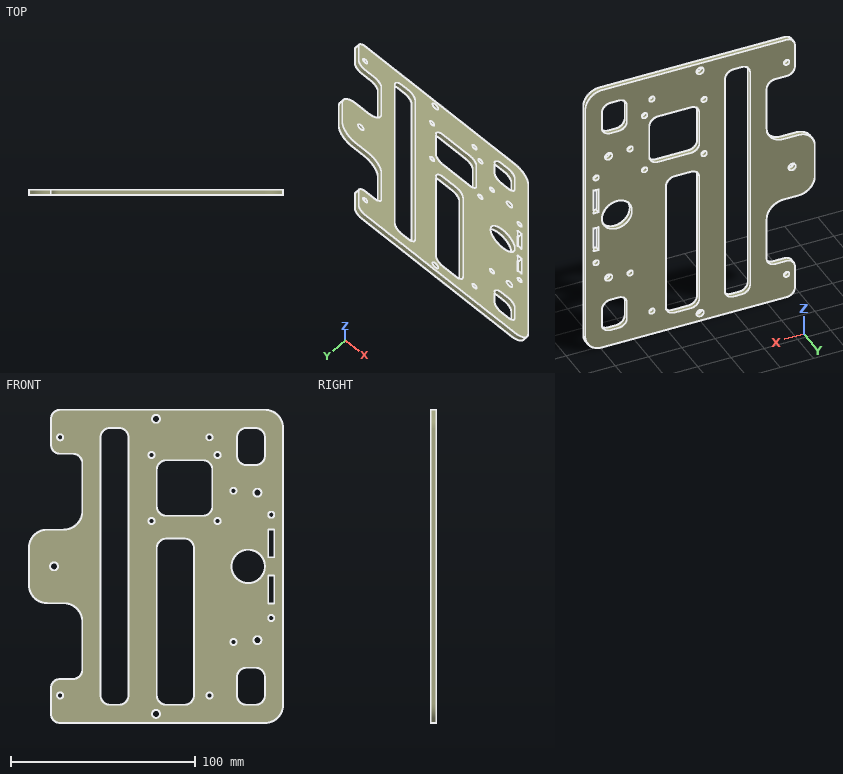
import cadquery as cq

WIDTH = 138.0
HEIGHT = 170.0
THICKNESS = 3.0
RIGHT_X = WIDTH / 2
TAB_X = -WIDTH / 2
TOP_Z = HEIGHT / 2

EAR_X = -57.0
NOTCH_X = -40.0
NOTCH_TOP_Z = 61.0
TAB_TOP_Z = 20.0
LARGE_RADIUS = 10.0
SMALL_RADIUS = 5.0

WINDOW_RADIUS = 5.0
WINDOW_TOP_Z = 75.0
SLOT_WIDTH = 15.0
SLOT_CENTER_X = -22.5
INNER_LEFT_X = 0.5
SQUARE_SIZE = 30.0
SQUARE_CENTER_X = INNER_LEFT_X + SQUARE_SIZE / 2
SQUARE_CENTER_Z = 42.5
LOWER_WINDOW_WIDTH = 20.0
LOWER_WINDOW_TOP_Z = 15.0
CORNER_WINDOW_WIDTH = 15.0
CORNER_WINDOW_HEIGHT = 20.0
CORNER_WINDOW_X = 51.5

OPENING_DIAMETER = 18.0
OPENING_X = 50.0
SLIT_WIDTH = 3.0
SLIT_LENGTH = 15.0
SLIT_X = 62.5
SLIT_CENTER_Z = 12.5

SMALL_HOLE_DIAMETER = 3.2
LARGE_HOLE_DIAMETER = 4.2
SQUARE_HOLE_PITCH = 35.8
TAB_HOLE_X = -55.3
SMALL_HOLE_PAIRS = [(-52.0, 70.0), (29.0, 70.0), (42.0, 41.0), (62.5, 28.0)]
LARGE_HOLE_PAIRS = [(0.0, 80.0), (55.0, 40.0)]


def mirrored(points):
    """Reflect (x, z) points about the horizontal centreline."""
    return [(x, -z) for x, z in points]


def with_mirror(points):
    """Points together with their reflections about the horizontal centreline."""
    return points + mirrored(points)


def extrude_through(profile):
    """Extrude an XZ profile over the plate thickness, centred on Y = 0."""
    return profile.extrude(THICKNESS / 2, both=True)


def round_corners(body, corners, radius):
    """Fillet the through-thickness edges standing at the given (x, z) corners."""
    for x, z in corners:
        edge = cq.selectors.NearestToPointSelector((x, 0, z))
        body = body.edges("|Y").edges(edge).fillet(radius)
    return body


def plate():
    """Plate blank with a stepped left edge and rounded corners."""
    large_corners = [
        (TAB_X, TAB_TOP_Z),
        (NOTCH_X, TAB_TOP_Z),
        (RIGHT_X, TOP_Z),
    ]
    small_corners = [
        (NOTCH_X, NOTCH_TOP_Z),
        (EAR_X, NOTCH_TOP_Z),
        (EAR_X, TOP_Z),
    ]
    upper_edge = large_corners[:2] + small_corners + large_corners[2:]
    outline = upper_edge + mirrored(reversed(upper_edge))
    blank = extrude_through(cq.Workplane("XZ").polyline(outline).close())
    blank = round_corners(blank, with_mirror(large_corners), LARGE_RADIUS)
    return round_corners(blank, with_mirror(small_corners), SMALL_RADIUS)


def window(x, z, width, height):
    """Cutter for a rectangular window with rounded corners, centred at (x, z)."""
    cutter = extrude_through(cq.Workplane("XZ").center(x, z).rect(width, height))
    return cutter.edges("|Y").fillet(WINDOW_RADIUS)


def slits():
    """Cutter for the two sharp-cornered slits near the right edge."""
    centers = with_mirror([(SLIT_X, SLIT_CENTER_Z)])
    return extrude_through(cq.Workplane("XZ").pushPoints(centers).rect(SLIT_WIDTH, SLIT_LENGTH))


def holes(centers, diameter):
    """Cutter for round through holes at the given (x, z) centres."""
    return extrude_through(cq.Workplane("XZ").pushPoints(centers).circle(diameter / 2))


def windows():
    """Cutters for all rounded windows."""
    lower_height = LOWER_WINDOW_TOP_Z + WINDOW_TOP_Z
    lower_x = INNER_LEFT_X + LOWER_WINDOW_WIDTH / 2
    lower_z = (LOWER_WINDOW_TOP_Z - WINDOW_TOP_Z) / 2
    cutters = [
        window(SLOT_CENTER_X, 0, SLOT_WIDTH, 2 * WINDOW_TOP_Z),
        window(SQUARE_CENTER_X, SQUARE_CENTER_Z, SQUARE_SIZE, SQUARE_SIZE),
        window(lower_x, lower_z, LOWER_WINDOW_WIDTH, lower_height),
    ]
    corner_z = WINDOW_TOP_Z - CORNER_WINDOW_HEIGHT / 2
    for x, z in with_mirror([(CORNER_WINDOW_X, corner_z)]):
        cutters.append(window(x, z, CORNER_WINDOW_WIDTH, CORNER_WINDOW_HEIGHT))
    return cutters


def square_window_holes():
    """Centres of the four holes around the square window."""
    offset = SQUARE_HOLE_PITCH / 2
    return [
        (SQUARE_CENTER_X + side * offset, SQUARE_CENTER_Z + level * offset)
        for side in (-1, 1)
        for level in (-1, 1)
    ]


small_hole_centers = with_mirror(SMALL_HOLE_PAIRS) + square_window_holes()
large_hole_centers = with_mirror(LARGE_HOLE_PAIRS) + [(TAB_HOLE_X, 0)]

cutters = windows()
cutters.append(slits())
cutters.append(holes([(OPENING_X, 0)], OPENING_DIAMETER))
cutters.append(holes(small_hole_centers, SMALL_HOLE_DIAMETER))
cutters.append(holes(large_hole_centers, LARGE_HOLE_DIAMETER))

result = plate()
for cutter in cutters:
    result = result.cut(cutter)